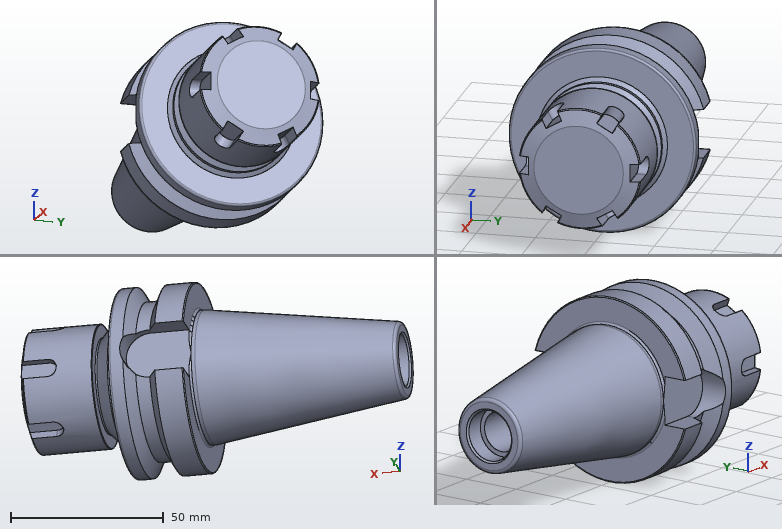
import cadquery as cq
import math

total_length = 125.5

gauge_diameter = 44.4
gauge_x = 65.4
taper_ratio = 7 / 24
shank_end_fillet = 1.3

flange_diameter = 63.0
flange_start_x = 67.4
flange_end_x = 92.5
flange_front_chamfer = 0.4
flange_back_fillet = 0.8
flange_root_fillet = 0.8
groove_floor_diameter = 52.8
groove_floor_width = 4.6
groove_centre_x = 82.2
groove_wall_angle = 30.0

drive_slot_count = 2
drive_slot_width = 16.6
drive_slot_end_x = 88.5
drive_slot_floor = gauge_diameter / 2

body_diameter = 41.2
body_start_x = 93.9
body_end_x = 95.3
neck_diameter = 32.0

nut_diameter = 41.2
nut_start_x = 100.4
nut_edge_chamfer = 0.3
nut_cone_x = 123.9
nut_cone_diameter = 40.4
nut_face_diameter = 30.1

spanner_slot_count = 6
spanner_slot_width = 6.0
spanner_slot_end_x = 112.5
spanner_slot_floor = 17.1

pilot_diameter = 17.2
pilot_depth = 7.0
pilot_chamfer = 0.6
bore_diameter = 13.8
bore_depth = 37.6

gauge_radius = gauge_diameter / 2
flange_radius = flange_diameter / 2
body_radius = body_diameter / 2
neck_radius = neck_diameter / 2
nut_radius = nut_diameter / 2


def revolve_about_axis(outline):
    """Full turn of a closed half outline about the X axis."""
    return outline.revolve(360, (0, 0, 0), (1, 0, 0))


def make_shank():
    """Taper with a rounded small end and a short cylinder up to the flange."""
    end_radius = gauge_radius - gauge_x * taper_ratio / 2
    profile = [
        (0, 0),
        (0, end_radius),
        (gauge_x, gauge_radius),
        (flange_end_x, gauge_radius),
        (flange_end_x, 0),
    ]
    shank = revolve_about_axis(cq.Workplane("XY").polyline(profile).close())
    return shank.faces("<X").edges().fillet(shank_end_fillet)


def make_flange():
    """Flange disc with a root fillet, a V groove with a flat floor and broken outer edges."""
    groove_radius = groove_floor_diameter / 2
    half_floor = groove_floor_width / 2
    half_mouth = half_floor + (flange_radius - groove_radius) * math.tan(math.radians(groove_wall_angle))
    arc_offset = 1 - math.sqrt(0.5)
    root_start_x = flange_start_x - flange_root_fillet
    root_arc_middle = (
        root_start_x + flange_root_fillet * math.sqrt(0.5),
        gauge_radius + flange_root_fillet * arc_offset,
    )
    back_arc_middle = (
        flange_end_x - flange_back_fillet * arc_offset,
        flange_radius - flange_back_fillet * arc_offset,
    )
    outline = (
        cq.Workplane("XY")
        .moveTo(root_start_x, 0)
        .lineTo(root_start_x, gauge_radius)
        .threePointArc(root_arc_middle, (flange_start_x, gauge_radius + flange_root_fillet))
        .lineTo(flange_start_x, flange_radius - flange_front_chamfer)
        .lineTo(flange_start_x + flange_front_chamfer, flange_radius)
        .lineTo(groove_centre_x - half_mouth, flange_radius)
        .lineTo(groove_centre_x - half_floor, groove_radius)
        .lineTo(groove_centre_x + half_floor, groove_radius)
        .lineTo(groove_centre_x + half_mouth, flange_radius)
        .lineTo(flange_end_x - flange_back_fillet, flange_radius)
        .threePointArc(back_arc_middle, (flange_end_x, flange_radius - flange_back_fillet))
        .lineTo(flange_end_x, 0)
        .close()
    )
    return revolve_about_axis(outline)


def make_body():
    """45-degree cone, collar and second cone that run down to the neck inside the nut."""
    root_radius = body_radius + body_start_x - flange_end_x
    cone_end_x = body_end_x + body_radius - neck_radius
    profile = [
        (flange_end_x, 0),
        (flange_end_x, root_radius),
        (body_start_x, body_radius),
        (body_end_x, body_radius),
        (cone_end_x, neck_radius),
        (nut_start_x, neck_radius),
        (nut_start_x, 0),
    ]
    return revolve_about_axis(cq.Workplane("XY").polyline(profile).close())


def make_nut():
    """Nut with a chamfered rear edge and a shallow conical front."""
    cone_radius = nut_cone_diameter / 2
    profile = [
        (nut_start_x, 0),
        (nut_start_x, nut_radius - nut_edge_chamfer),
        (nut_start_x + nut_edge_chamfer, nut_radius),
        (nut_cone_x - (nut_radius - cone_radius), nut_radius),
        (nut_cone_x, cone_radius),
        (total_length, nut_face_diameter / 2),
        (total_length, 0),
    ]
    return revolve_about_axis(cq.Workplane("XY").polyline(profile).close())


def round_ended_cutter(open_x, round_x, width, floor, top):
    """Cutter along X on the -Y side, from the floor out to the top, with one rounded end."""
    radius = width / 2
    centre_x = round_x - math.copysign(radius, round_x - open_x)
    return (
        cq.Workplane("XZ", origin=(0, -floor, 0))
        .moveTo(open_x, -radius)
        .lineTo(centre_x, -radius)
        .threePointArc((round_x, 0), (centre_x, radius))
        .lineTo(open_x, radius)
        .close()
        .extrude(top - floor)
    )


def cut_around_axis(part, cutter, count):
    """Cut equally spaced copies of a cutter about the X axis."""
    for index in range(count):
        part = part.cut(cutter.rotate((0, 0, 0), (1, 0, 0), index * 360 / count))
    return part


def make_end_bore():
    """Chamfered pilot bore followed by a smaller blind bore."""
    pilot_radius = pilot_diameter / 2
    bore_radius = bore_diameter / 2
    profile = [
        (0, 0),
        (0, pilot_radius + pilot_chamfer),
        (pilot_chamfer, pilot_radius),
        (pilot_depth, pilot_radius),
        (pilot_depth, bore_radius),
        (bore_depth, bore_radius),
        (bore_depth, 0),
    ]
    return revolve_about_axis(cq.Workplane("XY").polyline(profile).close())


flange = cut_around_axis(
    make_flange(),
    round_ended_cutter(gauge_x, drive_slot_end_x, drive_slot_width, drive_slot_floor, flange_diameter),
    drive_slot_count,
)
nut = cut_around_axis(
    make_nut(),
    round_ended_cutter(
        total_length + spanner_slot_width,
        spanner_slot_end_x,
        spanner_slot_width,
        spanner_slot_floor,
        nut_diameter,
    ),
    spanner_slot_count,
)

result = make_shank().union(flange).union(make_body()).union(nut).cut(make_end_bore())